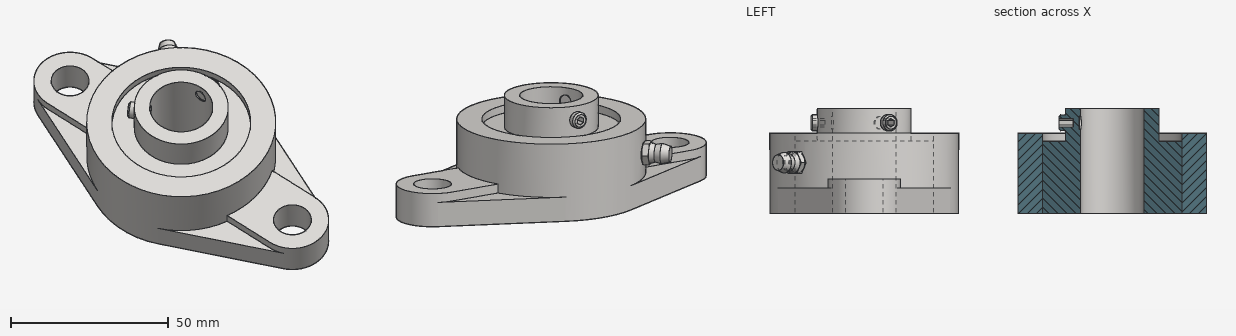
import cadquery as cq
import math

LENGTH = 113.0
HUB_DIAMETER = 60.0
HUB_RADIUS = HUB_DIAMETER / 2
HUB_HEIGHT = 25.5
LUG_RADIUS = 11.5
LUG_HEIGHT = 11.0
WEB_HEIGHT = 8.0
BOLT_HOLE_DIAMETER = 12.0
BOLT_OFFSET = LENGTH / 2 - LUG_RADIUS

SEAT_RADIUS = 22.0
RECESS_DEPTH = 2.6
COLLAR_RADIUS = 14.9
COLLAR_TOP = 33.3
BORE_DIAMETER = 20.0
SEAT_TOP = HUB_HEIGHT - RECESS_DEPTH

SCREW_RADIUS = 2.6
SCREW_HEIGHT = 28.8
SCREW_INNER_END = 10.4
SCREW_TIP = 17.0
SCREW_CHAMFER = 0.6
SCREW_END_RADIUS = SCREW_RADIUS - SCREW_CHAMFER
SCREW_ANGLES = (90, 210)
SOCKET_FLATS = 2.3
SOCKET_DEPTH = 4.5

NIPPLE_ANGLE = 135
NIPPLE_HEIGHT = 16.2
NIPPLE_ROOT = 27.1
NIPPLE_HEX_FLATS = 6.9
NIPPLE_HEX_START = 30.1
NIPPLE_HEX_END = 32.2
NIPPLE_NECK = 33.9
NIPPLE_HEAD = 35.9
NIPPLE_TIP = 38.6
NIPPLE_FLARE_RADIUS = 3.4
NIPPLE_NECK_RADIUS = 2.8
NIPPLE_HEAD_RADIUS = 3.3
NIPPLE_TIP_RADIUS = 2.5


def place_radially(shape, angle, height):
    """Turn a shape built along the X axis to a radial direction at the given height."""
    return shape.rotate((0, 0, 0), (0, 0, 1), angle).translate((0, 0, height))


def hexagon_prism(flats, start, end):
    """Hexagonal prism along the X axis, measured across its flats."""
    corner_diameter = flats / math.cos(math.pi / 6)
    return cq.Workplane("YZ", origin=(start, 0, 0)).polygon(6, corner_diameter).extrude(end - start)


def make_web():
    """Plate with straight sides along the common tangents of the hub and lug circles."""
    tangent_sin = (HUB_RADIUS - LUG_RADIUS) / BOLT_OFFSET
    tangent_cos = math.sqrt(1 - tangent_sin**2)
    hub_x = HUB_RADIUS * tangent_sin
    hub_y = HUB_RADIUS * tangent_cos
    lug_x = BOLT_OFFSET + LUG_RADIUS * tangent_sin
    lug_y = LUG_RADIUS * tangent_cos
    right_half = [(hub_x, hub_y), (lug_x, lug_y), (lug_x, -lug_y), (hub_x, -hub_y)]
    left_half = [(-x, -y) for x, y in right_half]
    return cq.Workplane("XY").polyline(right_half + left_half).close().extrude(WEB_HEIGHT)


def make_nipple():
    """Grease nipple: round shank, hexagon with flats facing up and down, waisted head."""
    hexagon = hexagon_prism(NIPPLE_HEX_FLATS, NIPPLE_HEX_START, NIPPLE_HEX_END)
    profile = [
        (NIPPLE_ROOT, 0),
        (NIPPLE_ROOT, NIPPLE_FLARE_RADIUS),
        (NIPPLE_HEX_END, NIPPLE_FLARE_RADIUS),
        (NIPPLE_NECK, NIPPLE_NECK_RADIUS),
        (NIPPLE_HEAD, NIPPLE_HEAD_RADIUS),
        (NIPPLE_TIP, NIPPLE_TIP_RADIUS),
        (NIPPLE_TIP, 0),
    ]
    turned = cq.Workplane("XZ").polyline(profile).close().revolve(360, (0, 0, 0), (1, 0, 0))
    return place_radially(turned.union(hexagon), NIPPLE_ANGLE, NIPPLE_HEIGHT)


def make_housing():
    """Round hub on a two-lug flange, with a through seat for the insert and a grease nipple."""
    hub = cq.Workplane("XY").circle(HUB_RADIUS).extrude(HUB_HEIGHT)
    lugs = cq.Workplane("XY").slot2D(LENGTH, 2 * LUG_RADIUS).extrude(LUG_HEIGHT)
    seat = cq.Workplane("XY").circle(SEAT_RADIUS).extrude(HUB_HEIGHT)
    bolt_holes = (
        cq.Workplane("XY")
        .pushPoints([(-BOLT_OFFSET, 0), (BOLT_OFFSET, 0)])
        .circle(BOLT_HOLE_DIAMETER / 2)
        .extrude(LUG_HEIGHT)
    )
    body = make_web().union(lugs).union(hub).union(make_nipple())
    return body.cut(seat).cut(bolt_holes)


def make_set_screw():
    """Screw along the X axis with both ends chamfered and a hexagon socket in the outer end."""
    profile = [
        (SCREW_INNER_END, 0),
        (SCREW_INNER_END, SCREW_END_RADIUS),
        (SCREW_INNER_END + SCREW_CHAMFER, SCREW_RADIUS),
        (SCREW_TIP - SCREW_CHAMFER, SCREW_RADIUS),
        (SCREW_TIP, SCREW_END_RADIUS),
        (SCREW_TIP, 0),
    ]
    screw = cq.Workplane("XZ").polyline(profile).close().revolve(360, (0, 0, 0), (1, 0, 0))
    socket = hexagon_prism(SOCKET_FLATS, SCREW_TIP - SOCKET_DEPTH, SCREW_TIP)
    corner_up_socket = socket.rotate((0, 0, 0), (1, 0, 0), 90)
    return screw.cut(corner_up_socket)


def make_insert():
    """Seat disc and collar on one bore, with the set screws built into the collar."""
    seat_disc = cq.Workplane("XY").circle(SEAT_RADIUS).extrude(SEAT_TOP)
    collar = cq.Workplane("XY").circle(COLLAR_RADIUS).extrude(COLLAR_TOP)
    bore = cq.Workplane("XY").circle(BORE_DIAMETER / 2).extrude(COLLAR_TOP)
    insert = seat_disc.union(collar).cut(bore)
    screw_hole = cq.Workplane("YZ").circle(SCREW_END_RADIUS).extrude(SCREW_TIP)
    screw = make_set_screw()
    for angle in SCREW_ANGLES:
        insert = insert.cut(place_radially(screw_hole, angle, SCREW_HEIGHT))
        insert = insert.union(place_radially(screw, angle, SCREW_HEIGHT))
    return insert


housing = make_housing()
insert = make_insert()
result = cq.Compound.makeCompound([housing.val(), insert.val()])